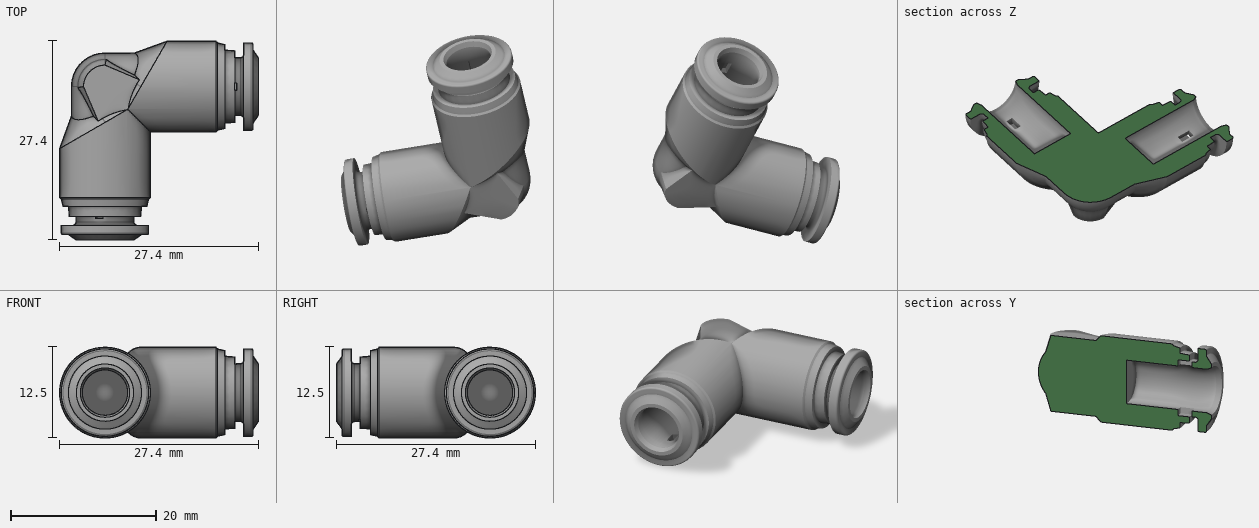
import cadquery as cq
import math


LENGTH = 27.35
BODY_DIAMETER = 12.5
BODY_RADIUS = BODY_DIAMETER / 2
LEG_REACH = LENGTH - BODY_RADIUS

KNUCKLE_RADIUS = 4.62
PLATE_HALF_HEIGHT = 5.47
PLATE_NOSE_RADIUS = 2.95
PLATE_SIDE_ANGLE = 23.0
PLATE_SIDE_REACH = 5.05
PLATE_HEEL = 3.12
PLATE_DRAFT = 16.0
PLATE_DEPTH = 3.83

SHOULDER_ANGLE = 60.0
SHOULDER_OFFSET = 4.92
SHOULDER_TAPER = 50.0
SHOULDER_HEIGHT = 3.17

BODY_END = 15.23
BODY_CHAMFER = 0.25
CAP_END = 16.46
CAP_END_RADIUS = 5.77
SLEEVE_END = 17.85
SLEEVE_ROOT_RADIUS = 5.03
SLEEVE_END_RADIUS = 4.92
NECK_RADIUS = 4.0
NECK_FILLET = 0.45
FLANGE_START = 19.05
FLANGE_END = 20.35
FLANGE_RADIUS = 6.02
FLANGE_FILLET = 0.25
NOSE_ROOT_RADIUS = 5.03
NOSE_TIP_RADIUS = 3.95

BORE_RADIUS = 3.12
BORE_MOUTH_RADIUS = 3.4
BORE_MOUTH_DEPTH = 0.75
BORE_DEPTH = 12.58
SLOT_WIDTH = 0.98
SLOT_START = 16.15
SLOT_END = 18.1
SECOND_COLLET_TURN = 11.5


def to_second_leg(shape):
    """Turn a shape of the +X leg half a turn about the line y = -x, onto the -Y leg."""
    return shape.rotate((0, 0, 0), (1, -1, 0), 180)


def leg_cylinder(radius, end):
    return cq.Workplane("YZ").circle(radius).extrude(end)


def leg_barrel():
    """Full-width leg, cut off by the slanted shoulder plane and tapered behind it."""
    angle = math.radians(SHOULDER_ANGLE)
    slanted = cq.Workplane(cq.Plane(
        origin=(SHOULDER_OFFSET, 0, 0),
        xDir=(math.cos(angle), math.sin(angle), 0),
        normal=(-math.sin(angle), math.cos(angle), 0),
    ))
    span = 4 * BODY_RADIUS
    behind_plane = slanted.rect(span, span).extrude(span)
    barrel = leg_cylinder(BODY_RADIUS, BODY_END).cut(behind_plane)
    shoulder = slanted.ellipse(BODY_RADIUS / math.sin(angle), BODY_RADIUS).extrude(
        SHOULDER_HEIGHT, taper=SHOULDER_TAPER
    )
    return barrel.union(shoulder)


def drafted_plate(outline):
    """Extrude an outline on the flat face down into the knuckle, widening as it goes."""
    return outline.close().extrude(-PLATE_DEPTH, taper=-PLATE_DRAFT)


def corner_plate():
    """Nose-shaped plate with a flat face on +Z and sides that widen downwards."""
    flat_face = cq.Workplane(cq.Plane(
        origin=(0, 0, PLATE_HALF_HEIGHT), xDir=(1, 0, 0), normal=(0, 0, 1)
    ))
    lean = math.tan(math.radians(PLATE_SIDE_ANGLE))
    side_end = PLATE_NOSE_RADIUS - lean * PLATE_SIDE_REACH
    tip = PLATE_NOSE_RADIUS / (1 - lean)
    wedge = drafted_plate(
        flat_face
        .moveTo(-tip, tip)
        .lineTo(PLATE_SIDE_REACH, side_end)
        .lineTo(PLATE_HEEL, -PLATE_HEEL)
        .lineTo(-side_end, -PLATE_SIDE_REACH)
    )
    nose_middle = PLATE_NOSE_RADIUS * math.sqrt(0.5)
    rounded_block = drafted_plate(
        flat_face
        .moveTo(-PLATE_NOSE_RADIUS, 0)
        .threePointArc((-nose_middle, nose_middle), (0, PLATE_NOSE_RADIUS))
        .lineTo(BODY_RADIUS, PLATE_NOSE_RADIUS)
        .lineTo(BODY_RADIUS, -BODY_RADIUS)
        .lineTo(-PLATE_NOSE_RADIUS, -BODY_RADIUS)
    )
    return wedge.intersect(rounded_block)


def knuckle():
    """Round inner elbow with a flat plate on its top and bottom."""
    pipe = leg_cylinder(KNUCKLE_RADIUS, BODY_END)
    plate = corner_plate()
    return (
        cq.Workplane("XY").sphere(KNUCKLE_RADIUS)
        .union(pipe)
        .union(to_second_leg(pipe))
        .union(plate)
        .union(plate.mirror("XY"))
    )


def port_outside():
    """Cap, sleeve, neck and release flange, turned about the leg axis."""
    neck_bend = NECK_FILLET * (1 - math.sqrt(0.5))
    flange_bend = FLANGE_FILLET * (1 - math.sqrt(0.5))
    return (
        cq.Workplane("XY")
        .moveTo(BODY_END, 0)
        .lineTo(BODY_END, BODY_RADIUS)
        .lineTo(BODY_END + BODY_CHAMFER, BODY_RADIUS - BODY_CHAMFER)
        .lineTo(CAP_END, CAP_END_RADIUS)
        .lineTo(CAP_END, SLEEVE_ROOT_RADIUS)
        .lineTo(SLEEVE_END, SLEEVE_END_RADIUS)
        .lineTo(SLEEVE_END, NECK_RADIUS)
        .lineTo(FLANGE_START - NECK_FILLET, NECK_RADIUS)
        .threePointArc(
            (FLANGE_START - neck_bend, NECK_RADIUS + neck_bend),
            (FLANGE_START, NECK_RADIUS + NECK_FILLET),
        )
        .lineTo(FLANGE_START, FLANGE_RADIUS)
        .lineTo(FLANGE_END - FLANGE_FILLET, FLANGE_RADIUS)
        .threePointArc(
            (FLANGE_END - flange_bend, FLANGE_RADIUS - flange_bend),
            (FLANGE_END, FLANGE_RADIUS - FLANGE_FILLET),
        )
        .lineTo(FLANGE_END, NOSE_ROOT_RADIUS)
        .lineTo(LEG_REACH, NOSE_TIP_RADIUS)
        .lineTo(LEG_REACH, 0)
        .close()
        .revolve(360, (0, 0, 0), (1, 0, 0))
    )


def port_hollow():
    """Blind tube bore with a widened mouth and two opposite slots in the collet wall."""
    mouth_start = LEG_REACH - BORE_MOUTH_DEPTH
    bore = (
        cq.Workplane("XY")
        .moveTo(LEG_REACH - BORE_DEPTH, 0)
        .lineTo(LEG_REACH - BORE_DEPTH, BORE_RADIUS)
        .lineTo(mouth_start, BORE_RADIUS)
        .lineTo(LEG_REACH, BORE_MOUTH_RADIUS)
        .lineTo(LEG_REACH, 0)
        .close()
        .revolve(360, (0, 0, 0), (1, 0, 0))
    )
    slot_length = SLOT_END - SLOT_START
    slots = (
        cq.Workplane("XY")
        .box(slot_length, SLOT_WIDTH, 2 * BODY_RADIUS)
        .translate((SLOT_START + slot_length / 2, 0, 0))
        .intersect(leg_cylinder(NECK_RADIUS, LEG_REACH))
    )
    return bore.union(slots)


barrel = leg_barrel()
outside = port_outside()
hollow = port_hollow()
turned_hollow = hollow.rotate((0, 0, 0), (1, 0, 0), SECOND_COLLET_TURN)

result = (
    knuckle()
    .union(barrel)
    .union(to_second_leg(barrel))
    .union(outside)
    .union(to_second_leg(outside))
    .cut(hollow)
    .cut(to_second_leg(turned_hollow))
)